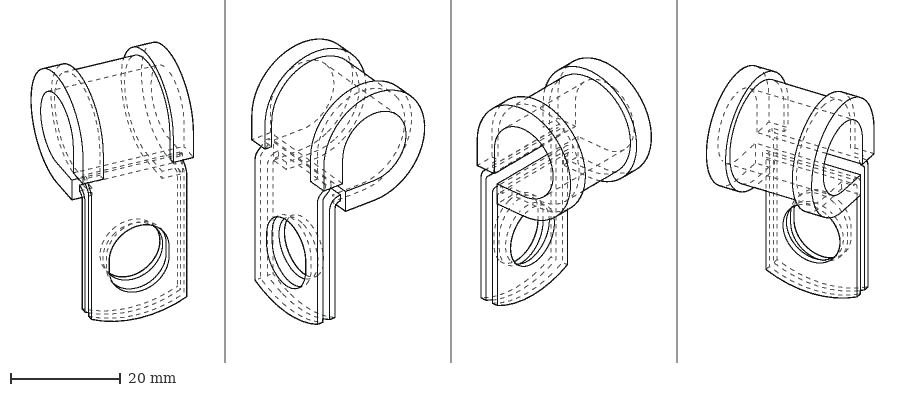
import cadquery as cq
import math

bore_radius = 7.15
cushion_radius = 11.4
cushion_width = 22.1
groove_width = 14.0
side_leg_length = 5.25
bottom_leg_length = 6.5

strap_radius = 9.88
strap_thickness = 1.25
strap_width = 19.1
strap_inner_radius = strap_radius - strap_thickness

bend_inner_radius = 1.05
bend_outer_radius = bend_inner_radius + strap_thickness
jog_inner_radius = 0.8
jog_outer_radius = jog_inner_radius + strap_thickness
jog_angle = 50.0
jog_lead = 0.25
inner_tab_face_x = 8.98
outer_tab_face_x = 11.78
tab_bottom_z = -36.5
tab_end_radius = 22.2
hole_diameter = 11.95
hole_z = -23.75
slot_length = 14.0


def extrude_about_xz(profile, width):
    """Extrude an XZ profile symmetrically along Y."""
    return profile.extrude(width / 2, both=True)


def c_band(inner_radius, outer_radius, width):
    """Open band: an arc from the bottom round by -X and the top to +X, with two straight legs."""
    half_diagonal = math.sqrt(0.5)
    profile = (
        cq.Workplane("XZ")
        .moveTo(bottom_leg_length, -outer_radius)
        .lineTo(0, -outer_radius)
        .threePointArc((-outer_radius * half_diagonal, outer_radius * half_diagonal), (outer_radius, 0))
        .lineTo(outer_radius, -side_leg_length)
        .lineTo(inner_radius, -side_leg_length)
        .lineTo(inner_radius, 0)
        .threePointArc((-inner_radius * half_diagonal, inner_radius * half_diagonal), (0, -inner_radius))
        .lineTo(bottom_leg_length, -inner_radius)
        .close()
    )
    return extrude_about_xz(profile, width)


def polar_point(center, radius, degrees):
    """Point at the given angle on a circle in the XZ plane."""
    angle = math.radians(degrees)
    return (center[0] + radius * math.cos(angle), center[1] + radius * math.sin(angle))


def make_cushion():
    """Two raised flanges joined by a thinner band that forms the strap groove."""
    flange_width = (cushion_width - groove_width) / 2
    flange_offset = (groove_width + flange_width) / 2
    cushion = c_band(bore_radius, strap_radius, cushion_width)
    for side in (-1, 1):
        flange = c_band(bore_radius, cushion_radius, flange_width)
        cushion = cushion.union(flange.translate((0, side * flange_offset, 0)))
    return cushion


def make_inner_tab():
    """Tab leaving the bottom leg through one quarter bend."""
    center = (inner_tab_face_x - bend_outer_radius, -strap_inner_radius - bend_outer_radius)
    profile = (
        cq.Workplane("XZ")
        .moveTo(bottom_leg_length, -strap_inner_radius)
        .lineTo(*polar_point(center, bend_outer_radius, 90))
        .threePointArc(polar_point(center, bend_outer_radius, 45), polar_point(center, bend_outer_radius, 0))
        .lineTo(inner_tab_face_x, tab_bottom_z)
        .lineTo(inner_tab_face_x - strap_thickness, tab_bottom_z)
        .lineTo(*polar_point(center, bend_inner_radius, 0))
        .threePointArc(polar_point(center, bend_inner_radius, 45), polar_point(center, bend_inner_radius, 90))
        .lineTo(bottom_leg_length, -strap_radius)
        .close()
    )
    return extrude_about_xz(profile, strap_width)


def make_outer_tab():
    """Tab leaving the side leg through an S: two opposite bends joined by a straight slope."""
    jog = outer_tab_face_x - strap_radius
    bend_radius_sum = jog_inner_radius + bend_outer_radius
    turn = math.radians(jog_angle)
    slope_run = jog - bend_radius_sum * (1 - math.cos(turn))
    jog_drop = bend_radius_sum * math.sin(turn) + slope_run / math.tan(turn)
    jog_top_z = -side_leg_length - jog_lead
    upper = (strap_radius + jog_inner_radius, jog_top_z)
    lower = (outer_tab_face_x - bend_outer_radius, jog_top_z - jog_drop)
    upper_middle = 180 + jog_angle / 2
    upper_end = 180 + jog_angle
    lower_middle = jog_angle / 2
    profile = (
        cq.Workplane("XZ")
        .moveTo(strap_radius, -side_leg_length)
        .lineTo(strap_radius, jog_top_z)
        .threePointArc(
            polar_point(upper, jog_inner_radius, upper_middle),
            polar_point(upper, jog_inner_radius, upper_end),
        )
        .lineTo(*polar_point(lower, bend_outer_radius, jog_angle))
        .threePointArc(
            polar_point(lower, bend_outer_radius, lower_middle),
            polar_point(lower, bend_outer_radius, 0),
        )
        .lineTo(outer_tab_face_x, tab_bottom_z)
        .lineTo(outer_tab_face_x - strap_thickness, tab_bottom_z)
        .lineTo(*polar_point(lower, bend_inner_radius, 0))
        .threePointArc(
            polar_point(lower, bend_inner_radius, lower_middle),
            polar_point(lower, bend_inner_radius, jog_angle),
        )
        .lineTo(*polar_point(upper, jog_outer_radius, upper_end))
        .threePointArc(
            polar_point(upper, jog_outer_radius, upper_middle),
            polar_point(upper, jog_outer_radius, 180),
        )
        .lineTo(strap_inner_radius, -side_leg_length)
        .close()
    )
    return extrude_about_xz(profile, strap_width)


def make_tab_outline():
    """Block along X shaped like a tab's face: straight sides and a rounded lower end."""
    half_width = strap_width / 2
    corner_z = tab_bottom_z + tab_end_radius - math.sqrt(tab_end_radius**2 - half_width**2)
    return (
        cq.Workplane("YZ")
        .moveTo(-half_width, 0)
        .lineTo(-half_width, corner_z)
        .threePointArc((0, tab_bottom_z), (half_width, corner_z))
        .lineTo(half_width, 0)
        .close()
        .extrude(outer_tab_face_x)
    )


def make_bolt_hole():
    """Round cutter for the inner tab."""
    return cq.Workplane("YZ").center(0, hole_z).circle(hole_diameter / 2).extrude(outer_tab_face_x)


def make_bolt_slot():
    """Upright slot cutter for the outer tab, as wide as the bolt hole."""
    return cq.Workplane("YZ").center(0, hole_z).slot2D(slot_length, hole_diameter, 90).extrude(outer_tab_face_x)


strap = c_band(strap_inner_radius, strap_radius, strap_width)
inner_tab = make_inner_tab().intersect(make_tab_outline()).cut(make_bolt_hole())
outer_tab = make_outer_tab().intersect(make_tab_outline()).cut(make_bolt_slot())
result = make_cushion().union(strap).union(inner_tab).union(outer_tab)